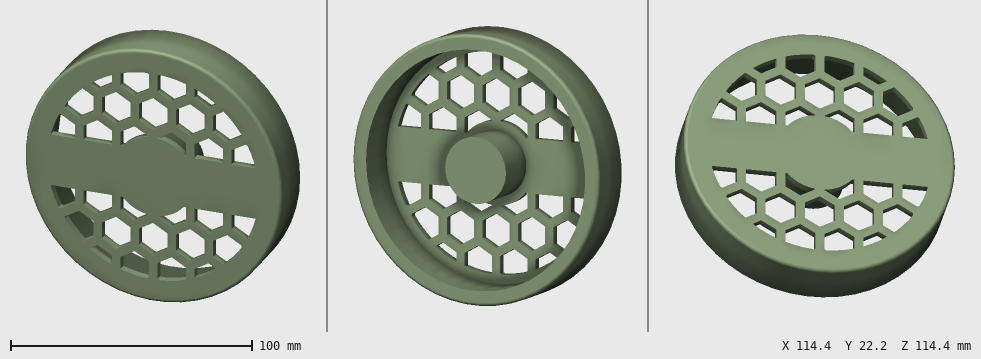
import cadquery as cq
import math

outer_radius = 57.2
depth = 22.2
edge_fillet = 1.5
plate_thickness = 3.4
cavity_radius = 50.7
hub_radius = 14.1
web = 3.8
hex_flats = 12.7
bar_half_height = 11.5

front = -depth / 2
back = depth / 2
plate_back = front + plate_thickness
open_radius = cavity_radius - web
centre_disc_radius = hub_radius + web
hex_sides = 6
hex_corner_radius = hex_flats / math.sqrt(3)
hex_pitch = hex_flats + web
row_pitch = hex_pitch * math.sqrt(3) / 2
row_count = math.ceil(open_radius / row_pitch)
column_count = math.ceil(open_radius / hex_pitch)


def disc(radius, start, end):
    """Cylinder along Y between two Y positions."""
    return cq.Workplane("XZ", origin=(0, start, 0)).circle(radius).extrude(start - end)


def hexagon_centres():
    """Staggered grid of (x, z) places with one hexagon on the axis."""
    centres = []
    for row in range(-row_count, row_count + 1):
        shift = hex_pitch / 2 * (row % 2)
        for column in range(-column_count, column_count + 1):
            centres.append((column * hex_pitch + shift, row * row_pitch))
    return centres


def hexagon_corners():
    """Corners of one hexagon with a corner at the top, about its own centre."""
    corners = []
    for index in range(hex_sides):
        angle = math.pi / 2 + index * 2 * math.pi / hex_sides
        corners.append((hex_corner_radius * math.cos(angle), hex_corner_radius * math.sin(angle)))
    return corners


def hexagon_grid():
    """All hexagons as prisms through the plate."""
    corners = hexagon_corners()
    plane = cq.Workplane("XZ", origin=(0, front, 0))
    for x, z in hexagon_centres():
        plane = plane.polyline([(x + u, z + v) for u, v in corners]).close()
    return plane.extrude(-plate_thickness)


def grille_openings():
    """Hexagons trimmed by the rim, the bar and the centre disc."""
    zone = disc(open_radius, front, plate_back)
    centre_disc = disc(centre_disc_radius, front, plate_back)
    bar = cq.Workplane("XY").box(2 * outer_radius, depth, 2 * bar_half_height)
    return zone.cut(centre_disc).cut(bar).intersect(hexagon_grid())


def shell():
    """Round cup, open at the +Y end, with the hub standing on its plate."""
    body = disc(outer_radius, front, back).edges().fillet(edge_fillet)
    cavity = disc(cavity_radius, plate_back, back)
    hub = disc(hub_radius, plate_back, back)
    return body.cut(cavity).union(hub)


result = shell().cut(grille_openings())